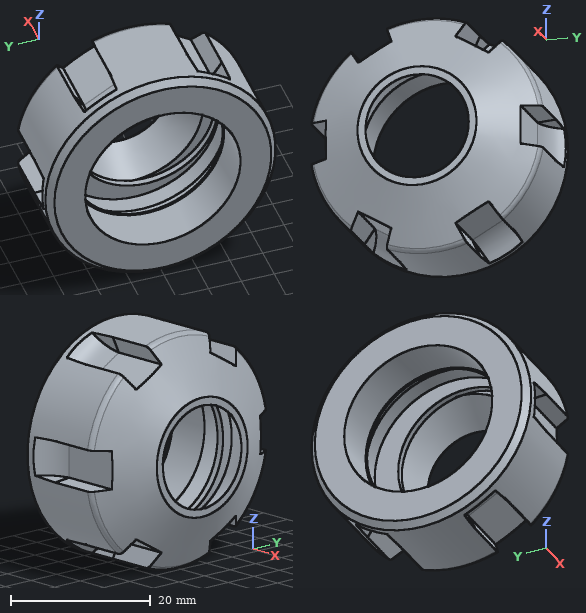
import cadquery as cq
import math

outer_radius = 17.5
length = 19.0
mouth_chamfer = 1.0
nose_radius = 8.85
nose_slope = math.radians(60)
shoulder_fillet = 1.0

bore_radius = 11.8
bore_depth = 7.0
bore_step = 0.25
groove_radius = 12.9
groove_start = 9.38
lip_start = 12.32
lip_radius = 10.92
lip_offset = 1.75
exit_cone_radius = 10.85
exit_radius = 7.65
exit_cone_slope = math.radians(30)
exit_cone_start = length - (exit_cone_radius - exit_radius) / math.tan(exit_cone_slope)

slot_count = 6
slot_floor_radius = 14.5
slot_floor_width = 5.67
slot_wall_draft = math.radians(5)
slot_height = 3.85
slot_ramp_start = 6.58
slot_ramp_radius = 5.95
slot_ramp_angle = 9.0
slot_ramp_sweep = 70.0


def revolve_about_x(points):
    """Revolve a closed outline of (x, radius) points around the X axis."""
    return cq.Workplane("XY").polyline(points).close().revolve(360, (0, 0, 0), (1, 0, 0))


def make_body():
    shoulder_x = length - (outer_radius - nose_radius) / math.tan(nose_slope)
    body = revolve_about_x([
        (0, 0),
        (0, outer_radius - mouth_chamfer),
        (mouth_chamfer, outer_radius),
        (shoulder_x, outer_radius),
        (length, nose_radius),
        (length, 0),
    ])
    shoulder = cq.selectors.BoxSelector(
        (shoulder_x - shoulder_fillet, -2 * outer_radius, -2 * outer_radius),
        (shoulder_x + shoulder_fillet, 2 * outer_radius, 2 * outer_radius),
    )
    return body.edges("%CIRCLE").edges(shoulder).fillet(shoulder_fillet)


def make_bore():
    """Stepped bore with a back-tapered groove, eccentric lip and exit cone."""
    entry_radius = bore_radius - bore_step
    chamber = revolve_about_x([
        (0, 0),
        (0, bore_radius),
        (bore_depth, bore_radius),
        (bore_depth, entry_radius),
        (groove_start, groove_radius),
        (lip_start, groove_radius),
        (lip_start, 0),
    ])
    lip = (
        cq.Workplane("YZ", origin=(lip_start, 0, 0))
        .center(-lip_offset, 0)
        .circle(lip_radius)
        .extrude(exit_cone_start - lip_start)
    )
    exit_cone = revolve_about_x([
        (exit_cone_start, 0),
        (exit_cone_start, exit_cone_radius),
        (length, exit_radius),
        (length, 0),
    ])
    return chamber.union(lip).union(exit_cone)


def slot_section(x, floor_radius):
    """Slot cross-section on the -Y side, with walls spreading away from the floor."""
    floor_half = slot_floor_width / 2
    top_half = floor_half + slot_height * math.tan(slot_wall_draft)
    return (
        cq.Workplane("YZ", origin=(x, 0, 0))
        .polyline([
            (-floor_radius, -floor_half),
            (-floor_radius, floor_half),
            (-floor_radius - slot_height, top_half),
            (-floor_radius - slot_height, -top_half),
        ])
        .close()
    )


def make_slot():
    """Wrench slot on the -Y side: flat floor, then an arc ramp towards the mouth."""
    straight = slot_section(slot_ramp_start, slot_floor_radius).extrude(length - slot_ramp_start)

    start_angle = math.radians(slot_ramp_angle)
    axis_x = slot_ramp_start + slot_ramp_radius * math.sin(start_angle)
    axis_y = -slot_floor_radius - slot_ramp_radius * math.cos(start_angle)
    ramp = (
        slot_section(axis_x, -axis_y - slot_ramp_radius)
        .revolve(slot_ramp_sweep, (axis_y, 0, 0), (axis_y, 1, 0))
        .rotate((axis_x, axis_y, 0), (axis_x, axis_y, 1), slot_ramp_angle)
    )
    beyond_ramp = (
        cq.Workplane("YZ", origin=(slot_ramp_start, 0, 0))
        .rect(4 * outer_radius, 4 * outer_radius)
        .extrude(length)
    )
    return straight.union(ramp.cut(beyond_ramp))


result = make_body().cut(make_bore())
slot = make_slot()
for index in range(slot_count):
    angle = index * 360 / slot_count
    result = result.cut(slot.rotate((0, 0, 0), (1, 0, 0), angle))